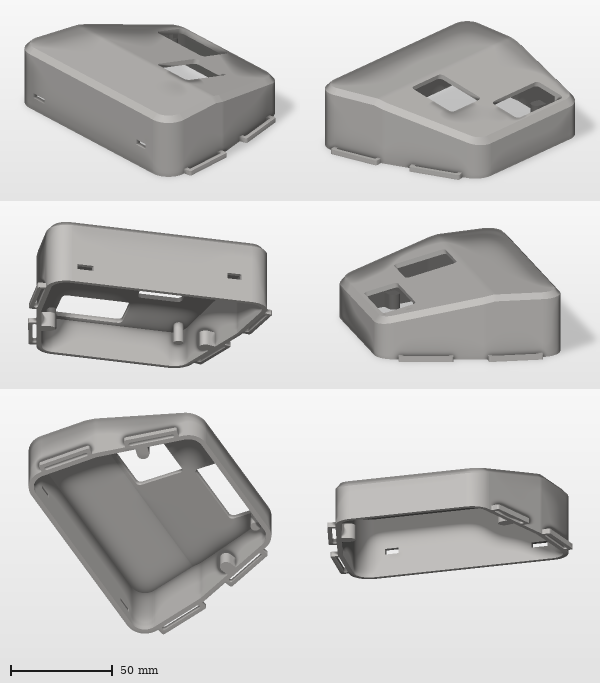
import math

import cadquery as cq

length = 90.0
front_width = 115.0
waist_width = 105.0
back_width = 75.0
waist_y = -5.0
front_height = 32.5
back_height = 20.0
fold_y = -10.0
corner_radius = 10.0
waist_radius = 10.0
fold_radius = 10.0
rim_chamfer = 2.7
wall = 2.5

window_radius = 2.2
windows = [
    (-30.5, 4.5, 34.4, 51.85),
    (5.75, 28.5, 2.3, 29.3),
]

front_slots = [
    (-43.5, -35.2, 6.7, 9.3),
    (33.4, 40.5, 11.2, 14.1),
]

loop_length = 27.0
loop_reach = 4.05
loop_bar = 2.0
loop_height = 2.5
loop_corner_radius = 1.0
loop_blend_radius = 0.5
loop_opening_radius = 0.95
loop_embed = 1.0
front_loop_start = 11.8
back_loop_start = 15.3

wall_post_x = 40.0
wall_post_y = 15.0
wall_post_radius = 3.0
wall_post_height = 7.5
wall_post_web = 6.0

stud_x = 32.5
stud_y = 36.25
stud_radius = 2.5
stud_bottom = 10.0

front_y = -length / 2
back_y = length / 2
roof_slope = math.atan2(front_height - back_height, back_y - fold_y)

front_corner = cq.Vector(-front_width / 2, front_y, 0)
waist_corner = cq.Vector(-waist_width / 2, waist_y, 0)
back_corner = cq.Vector(-back_width / 2, back_y, 0)


def with_mirror(shape):
    """The left-hand shape together with its reflection on the right."""
    return shape.union(shape.mirror("YZ"))


def wall_plane(start, end, origin):
    """Floor plane with local X along the wall from start to end and local Y pointing outward."""
    return cq.Plane(origin=origin, xDir=end - start, normal=(0, 0, 1))


def plan_prism(inset):
    """Upright prism on the rounded plan, with its walls moved inward by the inset."""
    left = [(p.x, p.y) for p in (front_corner, waist_corner, back_corner)]
    right = [(-x, y) for x, y in reversed(left)]
    outline = cq.Workplane("XY").polyline(left + right).close()
    if inset:
        outline = outline.offset2D(-inset, "intersection")
    prism = outline.extrude(front_height)
    waist_zone = cq.selectors.BoxSelector(
        (-front_width, waist_y - 1, 0), (front_width, waist_y + 1, front_height)
    )
    prism = prism.edges("|Z").edges(waist_zone).fillet(waist_radius - inset)
    return prism.edges("|Z and (<Y or >Y)").fillet(corner_radius - inset)


def roof_prism(inset):
    """Prism running across the width, with its roof moved inward by the inset and its base at Z = 0."""
    profile = [
        (front_y, -inset),
        (back_y, -inset),
        (back_y, back_height),
        (fold_y, front_height),
        (front_y, front_height),
    ]
    outline = cq.Workplane("YZ").polyline(profile).close()
    if inset:
        outline = outline.offset2D(-inset, "intersection")
    return outline.extrude(front_width, both=True)


def outer_body():
    """Solid body with the roof fold rounded and the whole roof rim chamfered."""
    fold_edge = cq.selectors.NearestToPointSelector((0, fold_y, front_height))
    roof = roof_prism(0).edges("|X").edges(fold_edge).fillet(fold_radius)
    body = plan_prism(0).intersect(roof)
    above_base = cq.selectors.BoxSelector(
        (-front_width, -length, wall), (front_width, length, 2 * front_height)
    )
    fold_lines = cq.selectors.BoxSelector(
        (-1, fold_y - fold_radius, wall), (1, fold_y + fold_radius, 2 * front_height)
    )
    return body.edges("not |Z").edges(above_base - fold_lines).chamfer(rim_chamfer)


def strap_loop(start, end, distance):
    """Closed strap loop on the wall from start to end, with its near end at the given distance."""
    origin = start + (end - start).normalized() * distance
    plane = wall_plane(start, end, origin)
    corner = loop_corner_radius
    blend = loop_blend_radius
    bar = (
        cq.Workplane(plane)
        .moveTo(-blend, 0)
        .radiusArc((0, blend), -blend)
        .lineTo(0, loop_reach - corner)
        .radiusArc((corner, loop_reach), corner)
        .lineTo(loop_length - corner, loop_reach)
        .radiusArc((loop_length, loop_reach - corner), corner)
        .lineTo(loop_length, blend)
        .radiusArc((loop_length + blend, 0), -blend)
        .lineTo(loop_length + blend, -loop_embed)
        .lineTo(-blend, -loop_embed)
        .close()
        .extrude(loop_height)
    )
    opening_depth = loop_reach - loop_bar
    opening = (
        cq.Workplane(plane)
        .center(loop_length / 2, opening_depth / 2)
        .rect(loop_length - 2 * loop_bar, opening_depth)
        .extrude(loop_height)
        .edges("|Z")
        .fillet(loop_opening_radius)
    )
    return bar.cut(opening)


def wall_post():
    """Round post with a web of the same width reaching into the rear side wall."""
    axis = cq.Vector(-wall_post_x, wall_post_y, 0)
    plane = wall_plane(waist_corner, back_corner, axis)
    post = cq.Workplane(plane).circle(wall_post_radius).extrude(wall_post_height)
    web = (
        cq.Workplane(plane)
        .center(0, wall_post_web / 2)
        .rect(2 * wall_post_radius, wall_post_web)
        .extrude(wall_post_height)
    )
    return post.union(web)


def roof_stud():
    """Round stud from its lower end up past the roof; the body trims its top."""
    return (
        cq.Workplane("XY", origin=(-stud_x, stud_y, stud_bottom))
        .circle(stud_radius)
        .extrude(front_height - stud_bottom)
    )


def window_cutter(left, right, near, far):
    """Rounded rectangular cutter square to the sloped roof."""
    normal = cq.Vector(0, math.sin(roof_slope), math.cos(roof_slope))
    plane = cq.Plane(origin=(0, fold_y, front_height), xDir=(1, 0, 0), normal=normal)
    return (
        cq.Workplane(plane)
        .center((left + right) / 2, (near + far) / 2)
        .rect(right - left, far - near)
        .extrude(2 * wall, both=True)
        .edges(cq.selectors.ParallelDirSelector(normal))
        .fillet(window_radius)
    )


def slot_cutter(left, right, bottom, top):
    """Rectangular cutter through the front wall only."""
    return (
        cq.Workplane("XY")
        .box(right - left, 3 * wall, top - bottom)
        .translate(((left + right) / 2, front_y, (bottom + top) / 2))
    )


body = outer_body()
cavity = plan_prism(wall).intersect(roof_prism(wall))
posts = with_mirror(wall_post()).union(with_mirror(roof_stud()))

result = body.cut(cavity).union(posts.intersect(body))
result = result.union(with_mirror(strap_loop(front_corner, waist_corner, front_loop_start)))
result = result.union(with_mirror(strap_loop(waist_corner, back_corner, back_loop_start)))

for window in windows:
    result = result.cut(window_cutter(*window))
for slot in front_slots:
    result = result.cut(slot_cutter(*slot))